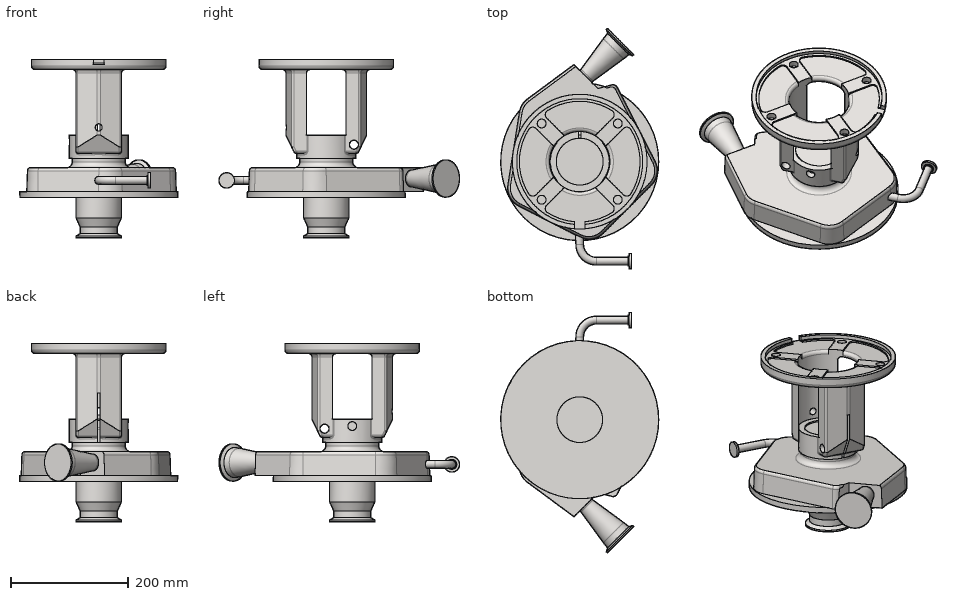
import cadquery as cq
import math

joint_overlap = 5.0
pick_margin = 1.0
leg_edge_pick_reach = 12.0

disc_bottom = 69.0
disc_top = 79.0
volute_top = 120.0
hub_bottom = 136.0
hub_top = 175.5
flange_bottom = 287.5
flange_top = 305.0

disc_radius = 135.0
inlet_radius = 39.0
inlet_tube_radius = 32.0
inlet_cone_top = 34.5
inlet_cone_bottom = 19.0
ferrule_flare = 4.5
ferrule_thickness = 3.0

pentagon_apothem = 115.0
pentagon_side_angles = (171.0, 243.0, 315.0, 27.0)
corner_radius = 35.0
throat_angle = 126.5
throat_distance = 139.2
tongue_angle = 105.0
tongue_distance = 112.5
tongue_radius = 12.0
tongue_trim_allowance = 1.5
casing_trim_allowance = 15.0
casing_draft = 2.0
casing_edge_radius = 7.0
casing_edge_overheight = 1.0

outlet_angle = 45.0
outlet_face = 110.3
outlet_offset = 95.5
outlet_height = 101.5
outlet_root_radius = 14.6
outlet_cone_start = 113.0
outlet_cone_end = 177.0
outlet_end = 194.4
outlet_cone_radius = 24.5
outlet_tube_radius = 25.8
outlet_ferrule_radius = 32.0

drain_radius = 6.8
drain_height = 98.3
drain_bend_radius = 28.5
drain_y = -170.0
drain_start_y = -110.0
drain_end = 88.5
drain_ferrule_radius = 13.3
drain_ferrule_thickness = 4.0
drain_collar_radius = 8.5
drain_collar_length = 2.5

neck_radius = 45.3
neck_fillet = 10.0
hub_radius = 50.5
shaft_radius = 40.0
shaft_recess = 2.5
hub_hole_diameter = 15.0
hub_hole_height = 163.7

flange_radius = 115.0
flange_edge_radius = 6.0
bore_radius = 51.5
recess_radius = 107.5
recess_depth = 6.0
pocket_radius = 103.0
pocket_depth = 8.5
pocket_corner_radius = 8.0
pocket_lip_radius = 6.0
spoke_width = 25.5
bolt_circle_radius = 92.0
bolt_hole_diameter = 15.0
notch_width = 18.5
notch_length = 20.0

leg_half_width = 39.0
leg_inner_y = 20.0
leg_edge_y = 58.2
leg_ridge_y = 69.0
leg_ridge_half_width = 3.0
leg_edge_radius = 4.0
leg_bottom = 144.5
leg_foot_radius = 4.0
leg_root_radius = 6.0
leg_slope_top = 175.5
leg_slope_angle = 25.7
leg_hole_diameter = 12.0
leg_hole_height = 188.7
hub_blend_radius = 2.5
clamp_hole_diameter = 15.0
clamp_hole_y = 47.3
clamp_hole_height = 159.2
slit_width = 4.0
slit_top = 220.0


def line_crossing(first, second):
    """Crossing point of two lines, each given as (normal angle, distance from origin)."""
    (angle_1, distance_1), (angle_2, distance_2) = first, second
    a1, a2 = math.radians(angle_1), math.radians(angle_2)
    determinant = math.sin(a2 - a1)
    x = (distance_1 * math.sin(a2) - distance_2 * math.sin(a1)) / determinant
    y = (distance_2 * math.cos(a1) - distance_1 * math.cos(a2)) / determinant
    return x, y


def box_around(x, y, reach, z_low, z_high):
    """Selector for whatever is centred within reach of (x, y) between two levels."""
    return cq.selectors.BoxSelector((x - reach, y - reach, z_low), (x + reach, y + reach, z_high))


def cylinder_z(radius, z_low, z_high):
    """Solid cylinder on the pump axis between two levels."""
    return cq.Workplane("XY").workplane(offset=z_low).circle(radius).extrude(z_high - z_low)


def make_inlet_and_plate():
    """Turned inlet pipe with its ferrule, and the back plate disc above it."""
    profile = [
        (0, 0),
        (inlet_radius, 0),
        (inlet_radius, ferrule_thickness),
        (inlet_tube_radius, ferrule_thickness + ferrule_flare),
        (inlet_tube_radius, inlet_cone_bottom),
        (inlet_radius, inlet_cone_top),
        (inlet_radius, disc_bottom),
        (disc_radius, disc_bottom),
        (disc_radius, disc_top),
        (0, disc_top),
    ]
    return cq.Workplane("XZ").polyline(profile).close().revolve(360, (0, 0, 0), (0, 1, 0))


def make_casing_trim(height):
    """Prism that trims the casing along the flat outlet face and the tongue beside it."""
    reach = disc_radius
    x, y = line_crossing((outlet_angle, outlet_face), (tongue_angle, tongue_distance))
    face_direction = math.radians(outlet_angle + 90)
    tongue_direction = math.radians(tongue_angle - 90)
    face_step = cq.Vector(reach * math.cos(face_direction), reach * math.sin(face_direction))
    tongue_step = cq.Vector(reach * math.cos(tongue_direction), reach * math.sin(tongue_direction))
    corner = cq.Vector(x, y)
    points = [corner, corner + tongue_step, corner + tongue_step + face_step, corner + face_step]
    return cq.Workplane("XY").polyline([(p.x, p.y) for p in points]).close().extrude(height)


def make_casing():
    """Drafted pentagonal casing with rounded top edge, trimmed flat at the outlet face."""
    height = volute_top - disc_top
    blank_height = height + casing_edge_overheight
    sides = [(angle, pentagon_apothem) for angle in pentagon_side_angles]
    throat = (throat_angle, throat_distance)
    tongue = (tongue_angle, tongue_distance + tongue_trim_allowance)
    face = (outlet_angle, outlet_face + casing_trim_allowance)
    lines = [throat, *sides, tongue, face]
    corners = [line_crossing(lines[i - 1], lines[i]) for i in range(len(lines))]
    sharp_block = cq.Workplane("XY").polyline(corners).close().extrude(blank_height)

    def round_corner(block, corner, radius):
        pick = box_around(*corner, pick_margin, 0, blank_height)
        return block.edges("|Z").edges(pick).fillet(radius)

    rounded_block = sharp_block
    for corner in corners[1:5]:
        rounded_block = round_corner(rounded_block, corner, corner_radius)
    rounded_block = round_corner(rounded_block, corners[5], tongue_radius)
    outline = rounded_block.faces("<Z").wires().val()

    casing = cq.Workplane("XY").add(outline).toPending().extrude(blank_height, taper=casing_draft)
    casing = casing.faces(">Z").edges().fillet(casing_edge_radius)
    casing = casing.cut(make_casing_trim(blank_height))
    return casing.translate((0, 0, disc_top)).cut(cylinder_z(2 * disc_radius, volute_top, hub_top))


def make_outlet():
    """Outlet cone, tube and ferrule, turned about an axis parallel to the outlet direction."""
    flange_start = outlet_end - ferrule_thickness
    profile = [
        (outlet_face - joint_overlap, 0),
        (outlet_face - joint_overlap, outlet_root_radius),
        (outlet_cone_start, outlet_root_radius),
        (outlet_cone_end, outlet_cone_radius),
        (flange_start - ferrule_thickness, outlet_tube_radius),
        (flange_start, outlet_ferrule_radius),
        (outlet_end, outlet_ferrule_radius),
        (outlet_end, 0),
    ]
    return (
        cq.Workplane("XY")
        .polyline(profile)
        .close()
        .revolve(360, (0, 0, 0), (1, 0, 0))
        .translate((0, outlet_offset, outlet_height))
        .rotate((0, 0, 0), (0, 0, 1), outlet_angle)
    )


def make_drain():
    """Bent drain pipe leaving the casing toward -Y and turning to +X, with its ferrule."""
    bend_start_y = drain_y + drain_bend_radius
    slant = drain_bend_radius * (1 - math.sqrt(0.5))
    path = (
        cq.Workplane("XY")
        .moveTo(0, drain_start_y)
        .lineTo(0, bend_start_y)
        .threePointArc((slant, drain_y + slant), (drain_bend_radius, drain_y))
        .lineTo(drain_end, drain_y)
    )
    pipe = cq.Workplane("XZ", origin=(0, drain_start_y, 0)).circle(drain_radius).sweep(path)
    ferrule_start = drain_end - drain_ferrule_thickness
    ferrule = (
        cq.Workplane("YZ", origin=(ferrule_start, drain_y, 0))
        .circle(drain_ferrule_radius)
        .extrude(drain_ferrule_thickness)
    )
    collar = (
        cq.Workplane("YZ", origin=(ferrule_start - drain_collar_length, drain_y, 0))
        .circle(drain_collar_radius)
        .extrude(drain_collar_length)
    )
    return pipe.union(ferrule).union(collar).translate((0, 0, drain_height))


def make_neck():
    """Neck on the casing top, flaring into it with a concave fillet."""
    arc_reach = neck_fillet * (1 - math.sqrt(0.5))
    return (
        cq.Workplane("XZ")
        .moveTo(0, volute_top - joint_overlap)
        .lineTo(neck_radius + neck_fillet, volute_top - joint_overlap)
        .lineTo(neck_radius + neck_fillet, volute_top)
        .threePointArc(
            (neck_radius + arc_reach, volute_top + arc_reach),
            (neck_radius, volute_top + neck_fillet),
        )
        .lineTo(neck_radius, hub_bottom)
        .lineTo(0, hub_bottom)
        .close()
        .revolve(360, (0, 0, 0), (0, 1, 0))
    )


def make_leg():
    """Leg on the -Y side: ridged outer face, sloped foot and rounded foot edges."""
    half_outline = [
        (leg_half_width, -leg_inner_y),
        (leg_half_width, -leg_edge_y),
        (leg_ridge_half_width, -leg_ridge_y),
    ]
    mirrored_half = [(-x, y) for x, y in reversed(half_outline)]
    leg = (
        cq.Workplane("XY")
        .workplane(offset=leg_bottom)
        .polyline(half_outline + mirrored_half)
        .close()
        .extrude(flange_bottom - leg_bottom)
    )
    slope_height = leg_slope_top - leg_bottom
    slope_reach = slope_height * math.tan(math.radians(leg_slope_angle))
    wedge = (
        cq.Workplane("YZ")
        .polyline([
            (-leg_ridge_y, leg_slope_top),
            (-leg_ridge_y + slope_reach, leg_bottom),
            (-leg_ridge_y, leg_bottom),
        ])
        .close()
        .extrude(leg_half_width, both=True)
    )
    leg = leg.cut(wedge)

    for x in (-leg_half_width, leg_half_width):
        side_edges = box_around(x, -leg_edge_y, leg_edge_pick_reach, leg_bottom, flange_bottom)
        leg = leg.edges(side_edges).fillet(leg_edge_radius)
    inner_edge = box_around(0, -leg_inner_y, pick_margin, 0, leg_bottom + pick_margin)
    foot_edges = leg.faces("<Z").edges(cq.selectors.InverseSelector(inner_edge))
    return foot_edges.fillet(leg_foot_radius)


def make_pockets():
    """Four sector pockets in the flange with a rounded lip at the bore."""
    floor = flange_top - pocket_depth
    lip_end = bore_radius + pocket_lip_radius
    arc_reach = pocket_lip_radius * math.sqrt(0.5)
    pockets = (
        cq.Workplane("XZ")
        .moveTo(bore_radius, floor - pocket_lip_radius)
        .threePointArc(
            (lip_end - arc_reach, floor - pocket_lip_radius + arc_reach),
            (lip_end, floor),
        )
        .lineTo(pocket_radius, floor)
        .lineTo(pocket_radius, flange_top)
        .lineTo(bore_radius, flange_top)
        .close()
        .revolve(360, (0, 0, 0), (0, 1, 0))
    )
    for angle in (45, 135):
        spoke = (
            cq.Workplane("XY")
            .box(2 * flange_radius, spoke_width, 2 * flange_top)
            .rotate((0, 0, 0), (0, 0, 1), angle)
        )
        pockets = pockets.cut(spoke)
    inner_keepout = cq.selectors.BoxSelector(
        (-lip_end, -lip_end, 0), (lip_end, lip_end, 2 * flange_top)
    )
    outer_corners = cq.selectors.ParallelDirSelector(cq.Vector(0, 0, 1)) - inner_keepout
    return pockets.edges(outer_corners).fillet(pocket_corner_radius)


def join_hub(bracket):
    """Add the clamp hub and blend the leg sides and feet into it."""
    bracket = bracket.union(cylinder_z(hub_radius, hub_bottom, hub_top))
    side_y = math.sqrt(hub_radius**2 - leg_half_width**2)
    blend_edges = cq.selectors.BoxSelector(
        (-pick_margin, -hub_radius - pick_margin, leg_bottom - pick_margin),
        (pick_margin, hub_radius + pick_margin, leg_bottom + pick_margin),
    )
    for x in (-leg_half_width, leg_half_width):
        for y in (-side_y, side_y):
            side_edges = box_around(x, y, leg_foot_radius, leg_bottom, hub_top - pick_margin)
            blend_edges = blend_edges + side_edges
    return bracket.edges(blend_edges).fillet(hub_blend_radius)


def make_bracket():
    """Motor flange carried by two legs that merge into the clamp hub."""
    bracket = cylinder_z(flange_radius, flange_bottom, flange_top)
    bracket = bracket.faces("<Z").edges().fillet(flange_edge_radius)
    front_leg = make_leg()
    bracket = bracket.union(front_leg).union(front_leg.mirror("XZ"))
    root_pick = cq.selectors.BoxSelector(
        (-leg_half_width - pick_margin, -leg_ridge_y - pick_margin, flange_bottom - pick_margin),
        (leg_half_width + pick_margin, leg_ridge_y + pick_margin, flange_bottom + pick_margin),
    )
    bracket = bracket.edges(root_pick).fillet(leg_root_radius)

    bracket = bracket.cut(cylinder_z(bore_radius, hub_top, flange_top))
    bracket = join_hub(bracket)
    bracket = bracket.cut(cylinder_z(recess_radius, flange_top - recess_depth, flange_top))
    bracket = bracket.cut(make_pockets())
    bolt_offset = bolt_circle_radius * math.sqrt(2)
    bolt_holes = (
        cq.Workplane("XY")
        .workplane(offset=flange_bottom)
        .rect(bolt_offset, bolt_offset, forConstruction=True)
        .vertices()
        .circle(bolt_hole_diameter / 2)
        .extrude(flange_top - flange_bottom)
    )
    notch = (
        cq.Workplane("XY")
        .box(notch_width, notch_length, pocket_depth, centered=(True, False, False))
        .translate((0, -flange_radius, flange_top - pocket_depth))
    )
    return bracket.cut(bolt_holes).cut(notch)


def cut_clamp_features(body):
    """Slit and clamp screw hole in the +Y leg, access hole in the -Y leg, hub side hole."""
    reach = leg_ridge_y + joint_overlap
    slit = (
        cq.Workplane("XY")
        .box(slit_width, reach - shaft_radius, slit_top - hub_bottom, centered=(True, False, False))
        .translate((0, shaft_radius, hub_bottom))
    )
    clamp_hole = (
        cq.Workplane("YZ", origin=(0, clamp_hole_y, clamp_hole_height))
        .circle(clamp_hole_diameter / 2)
        .extrude(reach, both=True)
    )
    access_hole = (
        cq.Workplane("XZ", origin=(0, 0, leg_hole_height))
        .circle(leg_hole_diameter / 2)
        .extrude(reach)
    )
    hub_hole = (
        cq.Workplane("YZ", origin=(-shaft_radius, 0, hub_hole_height))
        .circle(hub_hole_diameter / 2)
        .extrude(shaft_radius - reach)
    )
    return body.cut(slit).cut(clamp_hole).cut(access_hole).cut(hub_hole)


shaft_pocket = cylinder_z(shaft_radius, hub_top - shaft_recess, hub_top)

result = make_inlet_and_plate()
for piece in (make_casing(), make_outlet(), make_drain(), make_neck(), make_bracket()):
    result = result.union(piece)
result = cut_clamp_features(result.cut(shaft_pocket))